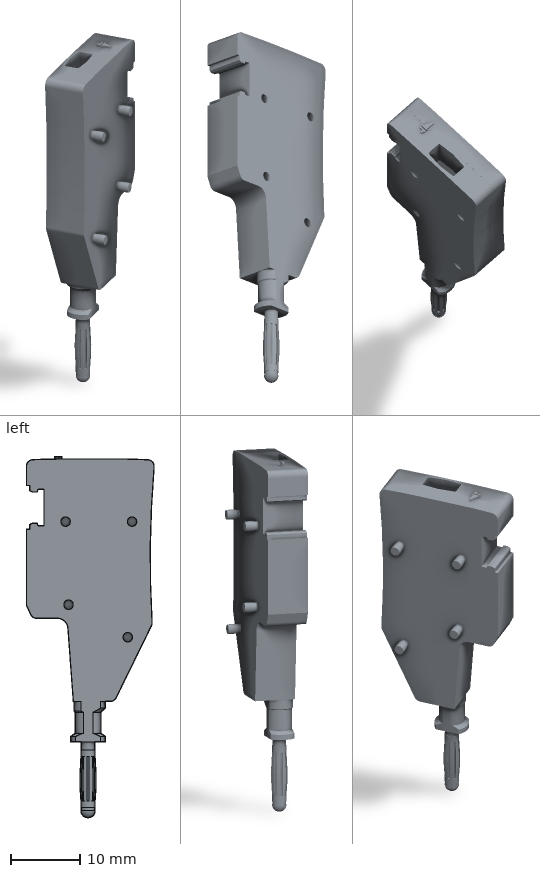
import cadquery as cq
import math


seam_x = 3.5
housing_width = 6.0
plug_axis_x = seam_x / 2

back_y = 8.95
front_top_y = -9.65
front_waist_y = -9.0
front_low_y = -9.3
front_waist_z = 39.7
front_low_z = 28.0
cover_waist_offset = 0.05
bottom_z = 16.85
bottom_front_y = -3.8
bottom_back_y = 2.15
ledge_z = 28.85
ledge_inner_y = 3.05
ledge_outer_y = 8.05
back_low_z = 30.8
shoulder_z = 51.8
crown_z = 51.95
flat_half_length = 5.3
edge_radius = 1.0
ledge_fillet = 1.5

slot_top_z = 47.5
slot_bottom_z = 42.3
slot_depth = 2.55
slot_mouth_depth = 0.45
slot_mouth_top_z = 48.1
slot_mouth_bottom_z = 41.75
lip_height = 0.35
lip_inner_depth = 1.7
lip_crest_depth = 1.55
lip_nose_depth = 0.9
lip_nose_drop = 0.2

peg_places = [(3.25, 42.85), (-6.4, 42.85), (2.8, 30.85), (-5.75, 26.15)]
peg_length = 1.9
peg_base_length = 0.15
peg_neck_end = 0.4
peg_crest_end = 1.35
peg_radius = 0.7
peg_neck_radius = 0.65
peg_crest_radius = 0.75
socket_radius = 0.7
socket_depth = 1.05

pocket_y = -1.55
pocket_length = 5.2
pocket_end_width = 2.2
pocket_mid_width = 2.65
pocket_depth = 5.2
pocket_corner_radius = 0.2

mark_top_z = 52.25
mark_bar_width = 0.2
mark_y = 4.3
mark_length = 1.1
mark_stem_y = 4.0
mark_stem_width = 0.3
mark_left_x = 2.15
mark_gap_start_x = 2.75
mark_gap_end_x = 3.0
mark_right_x = 4.45

collar_bottom_z = 11.0
rim_top_z = 11.75
lower_cone_top_z = 12.25
upper_cone_bottom_z = 15.25
flange_radius = 2.5
flange_back_radius = 2.05
neck_radius = 1.9

pin_radius = 1.05
shank_radius = 1.0
shank_end_z = 9.75
cage_top_z = 8.85
cage_bottom_z = 2.45
tip_band_z = 1.5
tip_band_radius = 1.0
cage_radius = 1.2
cage_slot_count = 8
cage_slot_width = 0.3
cage_core_radius = 0.85


def outline(waist_y, x_start, thickness, flat_top):
    """Extruded housing outline with rounded outer corners."""
    lip_top = slot_top_z - lip_height
    lip_bottom = slot_bottom_z + lip_height
    mouth_y = back_y - slot_mouth_depth
    nose_y = back_y - lip_nose_depth
    crest_y = back_y - lip_crest_depth
    inner_y = back_y - lip_inner_depth
    slot_y = back_y - slot_depth
    profile = cq.Workplane("YZ", origin=(x_start, 0, 0)).moveTo(front_top_y, shoulder_z)
    if flat_top:
        profile = (
            profile.lineTo(-flat_half_length, crown_z)
            .lineTo(flat_half_length, crown_z)
            .lineTo(back_y, shoulder_z)
        )
    else:
        profile = profile.threePointArc(((front_top_y + back_y) / 2, crown_z), (back_y, shoulder_z))
    profile = (
        profile.lineTo(back_y, slot_mouth_top_z)
        .lineTo(mouth_y, slot_mouth_top_z)
        .lineTo(mouth_y, lip_top + lip_nose_drop)
        .lineTo(nose_y, lip_top)
        .lineTo(crest_y, lip_top)
        .lineTo(inner_y, slot_top_z)
        .lineTo(slot_y, slot_top_z)
        .lineTo(slot_y, slot_bottom_z)
        .lineTo(inner_y, slot_bottom_z)
        .lineTo(crest_y, lip_bottom)
        .lineTo(nose_y, lip_bottom)
        .lineTo(mouth_y, lip_bottom - lip_nose_drop)
        .lineTo(mouth_y, slot_mouth_bottom_z)
        .lineTo(back_y, slot_mouth_bottom_z)
        .lineTo(back_y, back_low_z)
        .lineTo(ledge_outer_y, ledge_z)
        .lineTo(ledge_inner_y, ledge_z)
        .lineTo(bottom_back_y, bottom_z)
        .lineTo(bottom_front_y, bottom_z)
        .lineTo(front_low_y, front_low_z)
        .threePointArc((waist_y, front_waist_z), (front_top_y, shoulder_z))
        .close()
    )
    block = profile.extrude(thickness)

    def corner(y, z):
        x_middle = x_start + thickness / 2
        return cq.selectors.NearestToPointSelector((x_middle, y, z))

    rounded_corners = [
        (front_top_y, shoulder_z),
        (back_y, shoulder_z),
        (ledge_outer_y, ledge_z),
        (bottom_front_y, bottom_z),
        (front_low_y, front_low_z),
    ]
    for y, z in rounded_corners:
        block = block.edges("|X").edges(corner(y, z)).fillet(edge_radius)
    return block.edges("|X").edges(corner(ledge_inner_y, ledge_z)).fillet(ledge_fillet)


def turned(points):
    """Solid turned about the plug axis from (radius, z) points."""
    profile = cq.Workplane("XZ", origin=(plug_axis_x, 0, 0)).polyline(points).close()
    return profile.revolve(360, (0, 0, 0), (0, 1, 0))


def upper_flange(radius):
    """Flange under the housing, narrowing to the collar neck by a 45 degree cone."""
    cone_height = radius - neck_radius
    return turned([
        (0, upper_cone_bottom_z),
        (neck_radius, upper_cone_bottom_z),
        (radius, upper_cone_bottom_z + cone_height),
        (radius, bottom_z),
        (0, bottom_z),
    ])


def collar():
    """Turned collar cut flat at both faces of the base half."""
    spool = turned([
        (0, collar_bottom_z),
        (flange_radius, collar_bottom_z),
        (flange_radius, rim_top_z),
        (neck_radius, lower_cone_top_z),
        (neck_radius, bottom_z),
        (0, bottom_z),
    ])
    half_size = 2 * flange_radius
    front_half = cq.Workplane("XY").box(half_size, half_size, bottom_z, centered=(True, False, False))
    front_half = front_half.translate((plug_axis_x, -half_size, 0))
    spool = spool.union(upper_flange(flange_radius).intersect(front_half))
    spool = spool.union(upper_flange(flange_back_radius))
    slab = cq.Workplane("XY").box(seam_x, half_size, bottom_z, centered=(False, True, False))
    return spool.intersect(slab)


def peg(y, z):
    """Snap peg with a necked root and a swelling near its end."""
    return (
        cq.Workplane("XY", origin=(housing_width, y, z))
        .lineTo(0, peg_radius)
        .lineTo(peg_base_length, peg_radius)
        .lineTo(peg_base_length, peg_neck_radius)
        .lineTo(peg_neck_end, peg_neck_radius)
        .lineTo(peg_neck_end, peg_radius)
        .lineTo(peg_crest_end, peg_crest_radius)
        .lineTo(peg_length, peg_radius)
        .lineTo(peg_length, 0)
        .close()
        .revolve(360, (0, 0, 0), (1, 0, 0))
    )


def socket(y, z):
    """Blind hole that takes the peg of a neighbouring housing."""
    return cq.Workplane("YZ").center(y, z).circle(socket_radius).extrude(socket_depth)


def top_pocket():
    """Pocket with side walls bent outward at mid length."""
    half_length = pocket_length / 2
    half_end = pocket_end_width / 2
    half_mid = pocket_mid_width / 2
    return (
        cq.Workplane("XY", origin=(plug_axis_x, pocket_y, crown_z - pocket_depth))
        .polyline([
            (-half_end, -half_length),
            (half_end, -half_length),
            (half_mid, 0),
            (half_end, half_length),
            (-half_end, half_length),
            (-half_mid, 0),
        ])
        .close()
        .extrude(2 * pocket_depth)
        .edges("|Z and (>Y or <Y)")
        .fillet(pocket_corner_radius)
    )


def raised_mark():
    """Symbol of two facing bars, one with a stem and one with a wedge."""
    mark_base_z = shoulder_z
    height = mark_top_z - mark_base_z

    def plate(x_from, x_to, y_middle, width):
        return (
            cq.Workplane("XY", origin=(x_from, y_middle, mark_base_z))
            .box(x_to - x_from, width, height, centered=(False, True, False))
        )

    stem = plate(mark_left_x, mark_gap_start_x, mark_stem_y, mark_stem_width)
    left_bar = plate(mark_gap_start_x - mark_bar_width, mark_gap_start_x, mark_y, mark_length)
    right_bar = plate(mark_gap_end_x, mark_gap_end_x + mark_bar_width, mark_y, mark_length)
    wedge_low_y = mark_stem_y - mark_stem_width / 2
    wedge = (
        cq.Workplane("XY", origin=(0, 0, mark_base_z))
        .polyline([
            (mark_gap_end_x, wedge_low_y),
            (mark_right_x, wedge_low_y),
            (mark_right_x, mark_stem_y),
            (mark_gap_end_x, mark_y + mark_length / 2),
        ])
        .close()
        .extrude(height)
    )
    return stem.union(left_bar).union(right_bar.union(wedge))


def make_housing():
    base_half = outline(front_waist_y, 0, seam_x, flat_top=False)
    cover_waist_y = front_waist_y - cover_waist_offset
    cover_half = outline(cover_waist_y, seam_x, housing_width - seam_x, flat_top=True)
    body = base_half.union(cover_half).union(collar())
    body = body.cut(top_pocket()).union(raised_mark())
    for y, z in peg_places:
        body = body.cut(socket(y, z)).union(peg(y, z))
    return body


def make_pin():
    """Turned plug pin with a bulged, slotted spring cage and a round tip."""
    cage_middle_z = (cage_top_z + cage_bottom_z) / 2
    tip_middle = pin_radius * math.sqrt(0.5)
    pin = (
        cq.Workplane("XZ", origin=(plug_axis_x, 0, 0))
        .moveTo(0, collar_bottom_z)
        .lineTo(shank_radius, collar_bottom_z)
        .lineTo(shank_radius, shank_end_z)
        .lineTo(pin_radius, shank_end_z)
        .lineTo(pin_radius, cage_top_z)
        .threePointArc((cage_radius, cage_middle_z), (pin_radius, cage_bottom_z))
        .lineTo(pin_radius, tip_band_z)
        .lineTo(tip_band_radius, tip_band_z)
        .lineTo(tip_band_radius, pin_radius)
        .lineTo(pin_radius, pin_radius)
        .threePointArc((tip_middle, pin_radius - tip_middle), (0, 0))
        .close()
        .revolve(360, (0, 0, 0), (0, 1, 0))
    )
    slot = cq.Workplane("XY").box(
        cage_radius, cage_slot_width, cage_top_z - cage_bottom_z, centered=(False, True, False)
    ).translate((cage_core_radius, 0, cage_bottom_z))
    for index in range(cage_slot_count):
        angle = index * 360 / cage_slot_count
        turned_slot = slot.rotate((0, 0, 0), (0, 0, 1), angle)
        pin = pin.cut(turned_slot.translate((plug_axis_x, 0, 0)))
    return pin


housing = make_housing()
plug_pin = make_pin()
result = cq.Compound.makeCompound([housing.val(), plug_pin.val()])